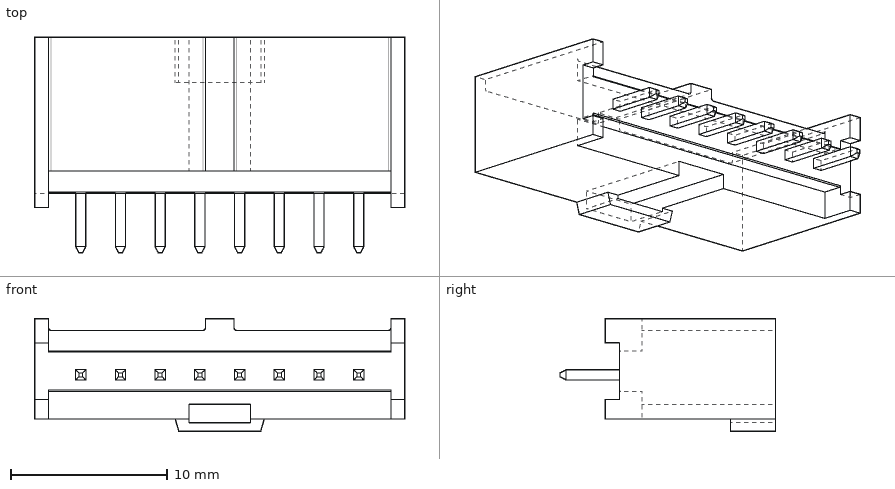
import cadquery as cq

TOTAL_WIDTH = 23.67
HOUSING_LENGTH = 10.0
TOTAL_HEIGHT = 7.21
HOUSING_HEIGHT = 6.43

TOP_Z = 3.6
BOTTOM_Z = TOP_Z - HOUSING_HEIGHT
BUMP_BOTTOM_Z = TOP_Z - TOTAL_HEIGHT

PLATE_THICKNESS = 0.9
FOOT_LENGTH = 0.9
UPPER_FOOT_HEIGHT = 1.55
LOWER_FOOT_HEIGHT = 1.27
PLATE_GAP = TOTAL_WIDTH - 2 * PLATE_THICKNESS

BASE_TOP_Z = TOP_Z - 2.06
BASE_BOTTOM_Z = TOP_Z - 4.66
BASE_CHAMFER = 0.08

WALL_SETBACK = 1.45
WALL_TOP_Z = TOP_Z - 0.75

RIB_WIDTH = 1.85
ROOT_FILLET = 0.15

BUMP_LENGTH = 2.9
BUMP_ROOT_WIDTH = 5.7
BUMP_TIP_WIDTH = 5.25
WINDOW_WIDTH = 3.92
WINDOW_HEIGHT = 1.18
WINDOW_FLOOR = 0.55

PIN_COUNT = 8
PIN_PITCH = 2.54
PIN_SIZE = 0.66
PIN_LENGTH = 3.8
PIN_TAPER_LENGTH = 0.4
PIN_TIP_SIZE = 0.25
PIN_EMBED = 1.0


def box(width, y_range, z_range, x_center=0):
    """Box centred on x_center, spanning the given Y and Z ranges."""
    y_min, y_max = y_range
    z_min, z_max = z_range
    size_y = y_max - y_min
    size_z = z_max - z_min
    solid = cq.Workplane("XY").box(width, size_y, size_z, centered=(True, False, False))
    return solid.translate((x_center, y_min, z_min))


def make_end_plate(side):
    """End plate whose upper and lower feet stand proud of the base block."""
    x_center = side * (TOTAL_WIDTH - PLATE_THICKNESS) / 2
    foot_y = (-FOOT_LENGTH, 0)
    plate = box(PLATE_THICKNESS, (0, HOUSING_LENGTH), (BOTTOM_Z, TOP_Z), x_center)
    upper_foot = box(PLATE_THICKNESS, foot_y, (TOP_Z - UPPER_FOOT_HEIGHT, TOP_Z), x_center)
    lower_foot = box(PLATE_THICKNESS, foot_y, (BOTTOM_Z, BOTTOM_Z + LOWER_FOOT_HEIGHT), x_center)
    return plate.union(upper_foot).union(lower_foot)


def make_base_block():
    """Block between the end plates, chamfered along its two long front edges."""
    block = box(PLATE_GAP, (0, HOUSING_LENGTH), (BASE_BOTTOM_Z, BASE_TOP_Z))
    return block.faces("<Y").edges("|X").chamfer(BASE_CHAMFER)


def make_walls():
    """Upper and lower walls with the central rib, set back from the base block."""
    wall_y = (WALL_SETBACK, HOUSING_LENGTH)
    walls = box(PLATE_GAP, wall_y, (BOTTOM_Z, WALL_TOP_Z))
    rib = box(RIB_WIDTH, wall_y, (WALL_TOP_Z, TOP_Z))
    return walls.union(rib)


def make_root_fillet(x_root, direction):
    """Concave fillet strip on the top wall, growing from x_root along direction."""
    x_end = x_root + direction * ROOT_FILLET
    z_end = WALL_TOP_Z + ROOT_FILLET
    arc_drop = ROOT_FILLET * (1 - 0.5 ** 0.5)
    arc_middle = (x_root + direction * arc_drop, WALL_TOP_Z + arc_drop)
    profile = (
        cq.Workplane("XZ", origin=(0, HOUSING_LENGTH, 0))
        .moveTo(x_root, WALL_TOP_Z)
        .lineTo(x_end, WALL_TOP_Z)
        .threePointArc(arc_middle, (x_root, z_end))
        .close()
    )
    return profile.extrude(HOUSING_LENGTH - WALL_SETBACK)


def make_latch_bump():
    """Trapezoidal bump under the housing at the mating end."""
    profile = cq.Workplane("XZ", origin=(0, HOUSING_LENGTH, 0)).polyline([
        (-BUMP_ROOT_WIDTH / 2, BOTTOM_Z),
        (BUMP_ROOT_WIDTH / 2, BOTTOM_Z),
        (BUMP_TIP_WIDTH / 2, BUMP_BOTTOM_Z),
        (-BUMP_TIP_WIDTH / 2, BUMP_BOTTOM_Z),
    ]).close()
    return profile.extrude(BUMP_LENGTH)


def make_window():
    """Rectangular passage through the lower wall and the latch bump."""
    floor_z = BUMP_BOTTOM_Z + WINDOW_FLOOR
    return box(WINDOW_WIDTH, (0, HOUSING_LENGTH), (floor_z, floor_z + WINDOW_HEIGHT))


def make_pin(x_center):
    """Square pin pointing to -Y with a tapered tip."""
    taper_start_y = PIN_TAPER_LENGTH - PIN_LENGTH
    shank = box(PIN_SIZE, (taper_start_y, PIN_EMBED), (-PIN_SIZE / 2, PIN_SIZE / 2), x_center)
    tip = (
        cq.Workplane("XZ", origin=(x_center, taper_start_y, 0))
        .rect(PIN_SIZE, PIN_SIZE)
        .workplane(offset=PIN_TAPER_LENGTH)
        .rect(PIN_TIP_SIZE, PIN_TIP_SIZE)
        .loft()
    )
    return shank.union(tip)


housing = make_base_block().union(make_walls()).union(make_latch_bump())
for side in (-1, 1):
    housing = housing.union(make_end_plate(side))
    housing = housing.union(make_root_fillet(side * PLATE_GAP / 2, -side))
    housing = housing.union(make_root_fillet(side * RIB_WIDTH / 2, side))
housing = housing.cut(make_window())

result = housing
for index in range(PIN_COUNT):
    result = result.union(make_pin((index - (PIN_COUNT - 1) / 2) * PIN_PITCH))